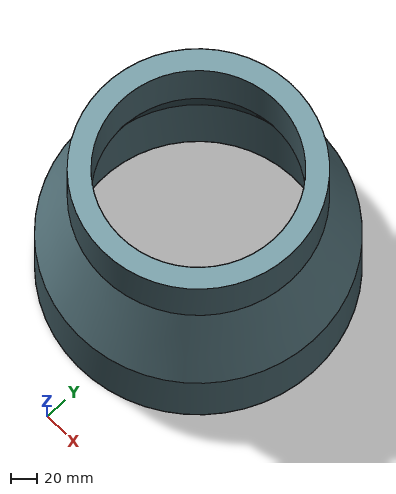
import cadquery as cq

total_height = 182.0

large_diameter = 250.0
large_wall = 22.7
large_outer_length = 60.0
large_bore_length = 70.0

small_diameter = 200.0
small_wall = 18.2
small_outer_length = 50.0
small_bore_length = 53.0

large_radius = large_diameter / 2
small_radius = small_diameter / 2
large_bore_radius = large_radius - large_wall
small_bore_radius = small_radius - small_wall


def stepped_cone(bottom_radius, bottom_length, top_radius, top_length):
    """Solid of revolution: a cylinder at each end joined by a cone."""
    half_profile = [
        (0, 0),
        (bottom_radius, 0),
        (bottom_radius, bottom_length),
        (top_radius, total_height - top_length),
        (top_radius, total_height),
        (0, total_height),
    ]
    return cq.Workplane("XZ").polyline(half_profile).close().revolve(360, (0, 0, 0), (0, 1, 0))


body = stepped_cone(large_radius, large_outer_length, small_radius, small_outer_length)
bore = stepped_cone(large_bore_radius, large_bore_length, small_bore_radius, small_bore_length)
result = body.cut(bore)